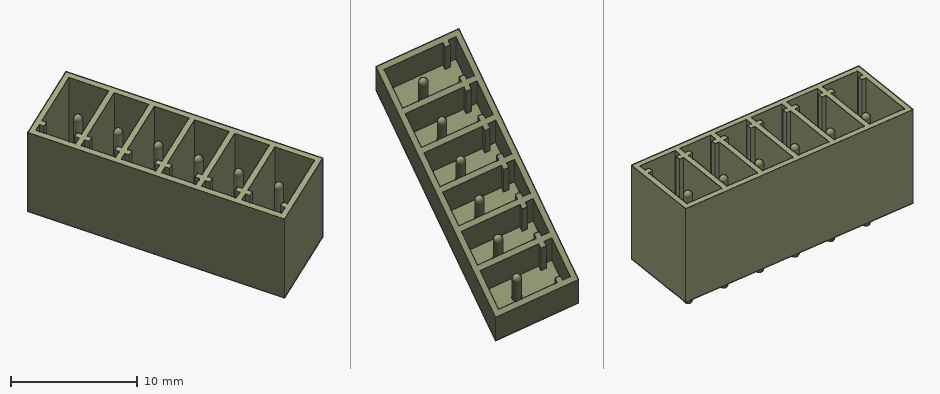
import cadquery as cq

LENGTH = 22.4
WIDTH = 7.25
HEIGHT = 9.2
WALL = 0.5

CONTACT_COUNT = 6
END_DISTANCE = 2.45
PITCH = (LENGTH - 2 * END_DISTANCE) / (CONTACT_COUNT - 1)
CONTACT_Y = 0.63
CONTACT_DIAMETER = 0.75
HOLE_DIAMETER = 0.8
CONTACT_BOTTOM = -2.87
CONTACT_TOP = 8.1

RIB_REACH = 0.4
RIB_THICKNESS = 0.47
RIB_GAP = 0.67

CONTACT_XS = [(i - (CONTACT_COUNT - 1) / 2) * PITCH for i in range(CONTACT_COUNT)]
POCKET_DEPTH = HEIGHT - WALL
RIB_Y = -WIDTH / 2 + WALL + RIB_GAP + RIB_THICKNESS / 2


def pocket_sides(index):
    """Left and right X limits of one pocket; the end pockets reach the outer walls."""
    x = CONTACT_XS[index]
    half_pocket = (PITCH - WALL) / 2
    left = -LENGTH / 2 + WALL if index == 0 else x - half_pocket
    right = LENGTH / 2 - WALL if index == CONTACT_COUNT - 1 else x + half_pocket
    return left, right


def block(x_min, x_max, y_centre, y_size):
    """Upright block that fills a pocket's depth, from the floor to the rim."""
    return (
        cq.Workplane("XY", origin=((x_min + x_max) / 2, y_centre, WALL))
        .rect(x_max - x_min, y_size)
        .extrude(POCKET_DEPTH)
    )


def make_pocket(index):
    """Space inside one pocket, notched on both sides where the guide ribs stand."""
    left, right = pocket_sides(index)
    pocket = block(left, right, 0, WIDTH - 2 * WALL)
    left_rib = block(left, left + RIB_REACH, RIB_Y, RIB_THICKNESS)
    right_rib = block(right - RIB_REACH, right, RIB_Y, RIB_THICKNESS)
    return pocket.cut(left_rib).cut(right_rib)


def make_housing():
    """Box with a row of pockets and a clearance hole through the floor of each."""
    housing = cq.Workplane("XY").rect(LENGTH, WIDTH).extrude(HEIGHT)
    for index in range(CONTACT_COUNT):
        housing = housing.cut(make_pocket(index))
    contact_holes = (
        cq.Workplane("XY")
        .pushPoints([(x, CONTACT_Y) for x in CONTACT_XS])
        .circle(HOLE_DIAMETER / 2)
        .extrude(WALL)
    )
    return housing.cut(contact_holes)


def make_contact(x):
    """Round pin with a hemisphere at each end."""
    radius = CONTACT_DIAMETER / 2
    pin = (
        cq.Workplane("XY", origin=(x, CONTACT_Y, CONTACT_BOTTOM + radius))
        .circle(radius)
        .extrude(CONTACT_TOP - CONTACT_BOTTOM - CONTACT_DIAMETER)
    )
    for z in (CONTACT_BOTTOM + radius, CONTACT_TOP - radius):
        pin = pin.union(cq.Workplane("XY", origin=(x, CONTACT_Y, z)).sphere(radius))
    return pin


housing = make_housing()
contacts = [make_contact(x) for x in CONTACT_XS]

result = cq.Compound.makeCompound([housing.val(), *[contact.val() for contact in contacts]])